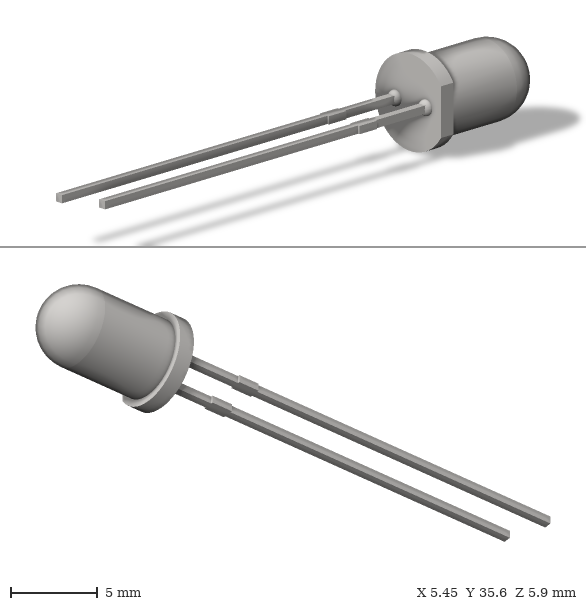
import cadquery as cq
import math

lens_radius = 2.5
lens_height = 8.6
flange_radius = 2.95
flange_thickness = 1.0
flat_offset = lens_radius

lead_pitch = 2.54
lead_width = 0.5
long_lead_length = 27.0
short_lead_length = 26.0

stop_width = 0.75
stop_start = 4.3
stop_length = 1.4

collar_base_radius = 0.5
collar_tip_radius = lead_width / 2
collar_height = 0.35
collar_bulge = 0.07

lead_embed = flange_thickness / 2


def make_lens():
    """Cylinder with a hemispherical end, revolved about the Y axis."""
    dome_start = lens_height - lens_radius
    mid_offset = lens_radius * math.cos(math.pi / 4)
    profile = (
        cq.Workplane("XY")
        .lineTo(lens_radius, 0)
        .lineTo(lens_radius, dome_start)
        .threePointArc((mid_offset, dome_start + mid_offset), (0, lens_height))
        .close()
    )
    return profile.revolve(360, (0, 0, 0), (0, 1, 0))


def make_flange():
    """Round flange with a flat on its +X side, level with the lens."""
    disc = cq.Workplane("XZ").circle(flange_radius).extrude(-flange_thickness)
    keep_width = flange_radius + flat_offset
    keep = cq.Workplane("XY").box(keep_width, 2 * flange_thickness, 2 * flange_radius)
    return disc.intersect(keep.translate((flat_offset - keep_width / 2, 0, 0)))


def bar_along_y(x, y_start, y_end, width):
    """Bar of the lead's thickness, centred on x and running toward -Y."""
    bar = cq.Workplane("XY").box(width, y_start - y_end, lead_width)
    return bar.translate((x, (y_start + y_end) / 2, 0))


def make_collar(x):
    """Domed collar where a lead leaves the flange base, narrowing to the lead width."""
    profile = (
        cq.Workplane("XY")
        .lineTo(collar_base_radius, 0)
        .sagittaArc((collar_tip_radius, -collar_height), collar_bulge)
        .lineTo(0, -collar_height)
        .close()
    )
    return profile.revolve(360, (0, 0, 0), (0, 1, 0)).translate((x, 0, 0))


def make_lead(x, length):
    """Square lead with its widened stop and its collar."""
    wire = bar_along_y(x, lead_embed, -length, lead_width)
    stop = bar_along_y(x, -stop_start, -stop_start - stop_length, stop_width)
    return wire.union(stop).union(make_collar(x))


result = make_lens().union(make_flange())
for lead_x, lead_length in (
    (-lead_pitch / 2, long_lead_length),
    (lead_pitch / 2, short_lead_length),
):
    result = result.union(make_lead(lead_x, lead_length))